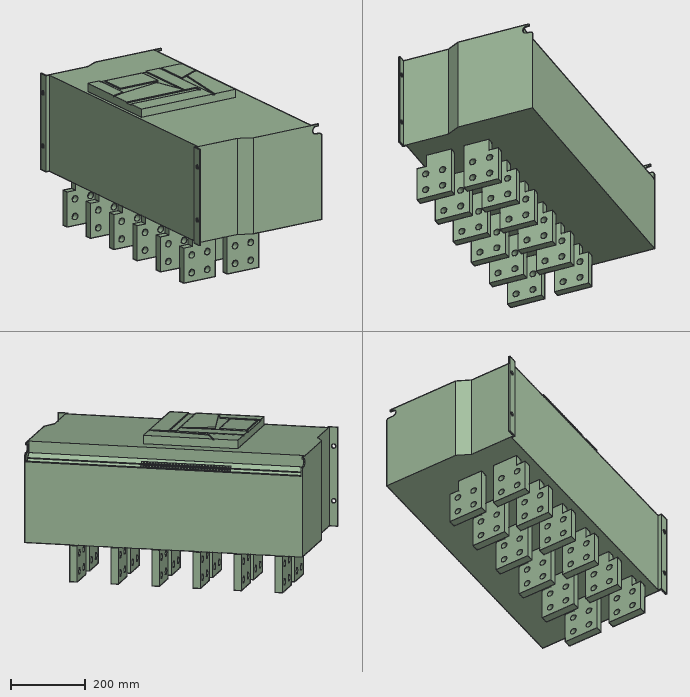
import cadquery as cq
import math


overall_width = 767.0
overall_depth = 394.0
body_height = 271.0
front_width = 722.5
rear_width = 762.5
front_setback = 11.0
taper_start = 136.5
taper_end = 174.0
sheet = 4.0

flange_hole_diameter = 11.5
flange_hole_inset = 11.0
flange_hole_heights = (69.0, 218.5)

slot_radius = 11.0
slot_drop = 16.0
slot_center_y = 376.0
lip_end_y = 383.5
slot_corner_radius = 8.0

rear_wall_y = 361.0
vent_slope = math.radians(36)
vent_step = 2.0
ledge_drop = 50.0

vent_count = 31
vent_row_span = 239.0
vent_pitch = vent_row_span / (vent_count - 1)
vent_width = 6.0
vent_inset = 1.0
vent_length = 5.0
vent_depth = 4.5
vent_center_x = -57.0

panel_left = -186.0
panel_front = 21.0
panel_width = 259.0
panel_depth = 301.0
panel_height = 23.0
plate_height = 3.0
plate_gap = 1.0

bar_columns = 6
bar_pitch = 113.0
bar_thickness = 21.0
blade_width = 101.0
blade_height = 99.0
neck_width = 74.0
neck_height = 34.5
front_bar_y = 11.0
bar_row_gap = 37.5
bar_hole_diameter = 18.0
bar_hole_pitch = 50.0
bar_hole_rise = 25.0

cut_margin = 8.0


def box(x0, x1, y0, y1, z0, z1):
    return cq.Workplane("XY").box(x1 - x0, y1 - y0, z1 - z0, centered=False).translate((x0, y0, z0))


def along_x(outline, x0, x1):
    """Extrude a closed YZ outline from x0 to x1."""
    return outline.extrude(x1 - x0).translate((x0, 0, 0))


def make_housing():
    """Block that widens from the front to the rear."""
    right_side = [
        (front_width / 2, front_setback),
        (front_width / 2, taper_start),
        (rear_width / 2, taper_end),
        (rear_width / 2, overall_depth),
    ]
    left_side = [(-x, y) for x, y in reversed(right_side)]
    return cq.Workplane("XY").polyline(right_side + left_side).close().extrude(body_height)


def make_side_slot():
    """Space cut from the rear of the side sheets, as wide as the part."""
    center_z = body_height - slot_drop
    bottom_z = center_z - slot_radius
    top_z = center_z + slot_radius
    corner_y = overall_depth - slot_corner_radius
    corner_reach = slot_corner_radius * math.sqrt(0.5)
    outside_y = overall_depth + cut_margin
    outline = (
        cq.Workplane("YZ")
        .moveTo(slot_center_y, top_z)
        .threePointArc((slot_center_y - slot_radius, center_z), (slot_center_y, bottom_z))
        .lineTo(corner_y, bottom_z)
        .threePointArc(
            (corner_y + corner_reach, bottom_z - slot_corner_radius + corner_reach),
            (overall_depth, bottom_z - slot_corner_radius),
        )
        .lineTo(outside_y, bottom_z - slot_corner_radius)
        .lineTo(outside_y, body_height + cut_margin)
        .lineTo(lip_end_y, body_height + cut_margin)
        .lineTo(lip_end_y, top_z)
        .close()
    )
    return along_x(outline, -overall_width / 2, overall_width / 2)


def make_rear_step():
    """Space above the wall, the two slopes and the ledge at the top rear edge."""
    ledge_z = body_height - ledge_drop
    lower_slope_z = ledge_z + (lip_end_y - slot_center_y) * math.tan(vent_slope)
    upper_slope_bottom_z = lower_slope_z + vent_step
    upper_slope_z = upper_slope_bottom_z + (slot_center_y - rear_wall_y) * math.tan(vent_slope)
    outside_y = overall_depth + cut_margin
    outline = (
        cq.Workplane("YZ")
        .moveTo(rear_wall_y, body_height + cut_margin)
        .lineTo(rear_wall_y, upper_slope_z)
        .lineTo(slot_center_y, upper_slope_bottom_z)
        .lineTo(slot_center_y, lower_slope_z)
        .lineTo(lip_end_y, ledge_z)
        .lineTo(outside_y, ledge_z)
        .lineTo(outside_y, body_height + cut_margin)
        .close()
    )
    half_width = rear_width / 2 - sheet
    step = along_x(outline, -half_width, half_width)

    for edge_y, edge_z in ((slot_center_y, upper_slope_bottom_z), (lip_end_y, ledge_z)):
        slots = (
            cq.Workplane("XY")
            .center(vent_center_x, edge_y - vent_inset - vent_length / 2)
            .rarray(vent_pitch, 8, vent_count, 1)
            .rect(vent_width, vent_length)
            .extrude(2 * vent_depth)
            .translate((0, 0, edge_z - vent_depth))
        )
        step = step.union(slots)
    return step


def make_right_flange():
    """Side sheet carried past the front and bent outward, with two screw holes."""
    outer_x = overall_width / 2
    inner_x = front_width / 2 - sheet
    web = box(inner_x, front_width / 2, 0, front_setback, 0, body_height)
    flange = web.union(box(inner_x, outer_x, 0, sheet, 0, body_height))
    for height in flange_hole_heights:
        hole = cq.Workplane("XZ").circle(flange_hole_diameter / 2).extrude(-sheet)
        flange = flange.cut(hole.translate((outer_x - flange_hole_inset, 0, height)))
    return flange


def raised_plate(points):
    """Plate on the panel; points are measured from the panel's left front corner."""
    return cq.Workplane("XY").polyline(points).close().extrude(plate_height)


def make_panel():
    base_height = panel_height - plate_height
    panel = box(0, panel_width, 0, panel_depth, 0, base_height)

    rear_plates_front = 235.0
    rear_left_plate = [
        (0, rear_plates_front),
        (100.0, rear_plates_front),
        (66.0, panel_depth),
        (0, panel_depth),
    ]
    rear_right_plate = [
        (90.5, 257.0),
        (panel_width, rear_plates_front),
        (panel_width, panel_depth),
        (68.0, panel_depth),
    ]

    frame_rear = 229.0
    frame_arm_front = 185.5
    groove_left = 187.0
    groove_right = 208.0
    groove_rear = 222.5
    frame_plate = [
        (0, frame_arm_front),
        (groove_left, frame_arm_front),
        (groove_left, groove_rear),
        (groove_right, groove_rear),
        (groove_right, 0),
        (panel_width, 0),
        (panel_width, frame_rear),
        (0, frame_rear),
    ]
    pointed_plate = [
        (125.0, 0),
        (groove_left, 0),
        (groove_left, frame_arm_front - plate_gap),
        (96.0, 158.0),
    ]
    window_plate = [(7.0, 50.0), (82.0, 50.0), (82.0, 170.0), (7.0, 170.0)]
    front_left_plate = [(0, 0), (123.5, 0), (112.0, 37.5), (0, 37.5)]

    for points in (
        rear_left_plate,
        rear_right_plate,
        frame_plate,
        pointed_plate,
        window_plate,
        front_left_plate,
    ):
        panel = panel.union(raised_plate(points).translate((0, 0, base_height)))
    return panel.translate((panel_left, panel_front, body_height))


def make_front_bar():
    """L-shaped bar centred on X = 0, its wide blade overhanging toward the front."""
    bar_bottom = -neck_height - blade_height
    blade_rear = front_bar_y + blade_width
    half = bar_thickness / 2
    bar = box(-half, half, front_bar_y, blade_rear, bar_bottom, -neck_height)
    bar = bar.union(box(-half, half, blade_rear - neck_width, blade_rear, -neck_height, 0))
    first_hole_y = front_bar_y + (blade_width - bar_hole_pitch) / 2
    for column in range(2):
        for row in range(2):
            hole_y = first_hole_y + column * bar_hole_pitch
            hole_z = bar_bottom + bar_hole_rise + row * bar_hole_pitch
            outline = cq.Workplane("YZ").center(hole_y, hole_z).circle(bar_hole_diameter / 2)
            bar = bar.cut(along_x(outline, -half, half))
    return bar


part = make_housing().cut(make_side_slot()).cut(make_rear_step())

right_flange = make_right_flange()
part = part.union(right_flange).union(right_flange.mirror("YZ"))
part = part.union(make_panel())

front_bar = make_front_bar()
gap_middle_y = front_bar_y + blade_width + bar_row_gap / 2
rear_bar = front_bar.mirror("XZ", (0, gap_middle_y, 0))
for column in range(bar_columns):
    offset = ((column - (bar_columns - 1) / 2) * bar_pitch, 0, 0)
    part = part.union(front_bar.translate(offset)).union(rear_bar.translate(offset))

result = part